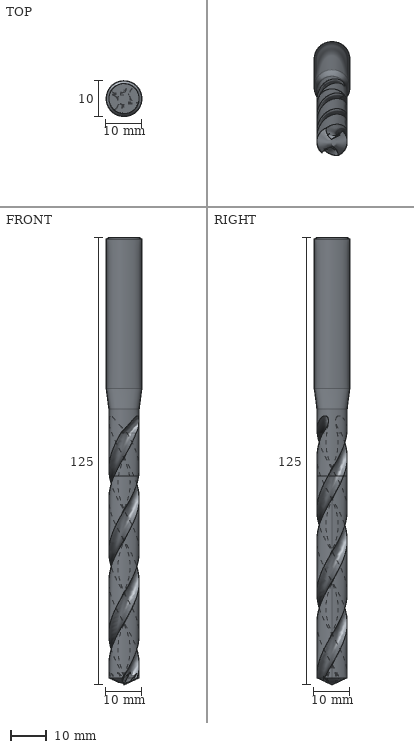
import cadquery as cq
import math

total_length = 125.0
shank_diameter = 10.0
shank_length = 42.2
shank_chamfer_width = 0.8
shank_chamfer_height = 0.5
shank_bottom = total_length - shank_length
neck_height = 5.7
neck_bottom = shank_bottom - neck_height
joint_height = 58.3

drill_diameter = 8.5
point_angle = 130.0
point_height = drill_diameter / 2 / math.tan(math.radians(point_angle / 2))

flute_count = 2
helix_angle = 30.0
flute_lead = math.pi * drill_diameter / math.tan(math.radians(helix_angle))
flute_radius = 2.3
flute_center_radius = 4.0
flute_helix_top = 70.3
flute_top_angle = -70.0
flute_runout_height = 7.0
flute_runout_angle = 42.0
flute_runout_rise_angle = 10.0
flute_overrun = 1.0
fluted_bar_allowance = 0.5
fluted_bar_radius = drill_diameter / 2 + fluted_bar_allowance
bar_slice_thickness = 1.0

gash_root_bottom = cq.Vector(0.1, -1.0, 0.45)
gash_root_top = cq.Vector(1.8, -0.9, 3.7)
gash_inner_edge = cq.Vector(-0.2, -2.4, 1.95)
gash_outer_edge = cq.Vector(2.7, -1.2, 1.6)
gash_overrun = 0.5


def revolved(profile):
    """Turn a half outline in the XZ plane about the Z axis."""
    return profile.close().revolve(360, (0, 0, 0), (0, 1, 0))


def turned(solid, angle):
    """The solid turned about the Z axis."""
    return solid.rotate(cq.Vector(0, 0, 0), cq.Vector(0, 0, 1), angle)


def flute_section(height):
    """Circular flute section on the +X side, in a level plane."""
    return (
        cq.Workplane("XY", origin=(0, 0, height))
        .pushPoints([(flute_center_radius, 0)])
        .circle(flute_radius)
    )


def flute_cutters(top_angle):
    """Helical groove with a straight run-out that climbs away from the axis."""
    helix_height = flute_helix_top + flute_overrun
    helix_turn = 360.0 * helix_height / flute_lead
    helix = (
        flute_section(-flute_overrun)
        .twistExtrude(helix_height, helix_turn)
        .rotate((0, 0, 0), (0, 0, 1), -helix_turn)
    )
    tangent_travel = flute_runout_height * math.tan(math.radians(flute_runout_angle))
    radial_travel = flute_runout_height * math.tan(math.radians(flute_runout_rise_angle))
    runout_face = cq.Face.makeFromWires(flute_section(flute_helix_top).wires().val())
    runout = cq.Solid.extrudeLinear(
        runout_face, cq.Vector(radial_travel, tangent_travel, flute_runout_height)
    )
    return [turned(cutter, top_angle) for cutter in (helix.val(), runout)]


def cut_flutes(body):
    """Cut every flute and its run-out from a body."""
    for index in range(flute_count):
        for cutter in flute_cutters(flute_top_angle + index * 360.0 / flute_count):
            body = body.cut(cq.Workplane(obj=cutter))
    return body


shank = cut_flutes(revolved(
    cq.Workplane("XZ")
    .moveTo(0, joint_height)
    .lineTo(drill_diameter / 2, joint_height)
    .lineTo(drill_diameter / 2, neck_bottom)
    .lineTo(shank_diameter / 2, shank_bottom)
    .lineTo(shank_diameter / 2, total_length - shank_chamfer_height)
    .lineTo(shank_diameter / 2 - shank_chamfer_width, total_length)
    .lineTo(0, total_length)
))

def fluted_bar():
    """Oversize round bar with both flutes twisted along it, flat at both ends."""
    helix_turn = 360.0 * joint_height / flute_lead
    bottom_angle = flute_top_angle - 360.0 * flute_helix_top / flute_lead
    flute_discs = (
        cq.Workplane("XY")
        .polarArray(flute_center_radius, bottom_angle, 360, flute_count)
        .circle(flute_radius)
        .extrude(bar_slice_thickness)
    )
    bar_slice = cq.Workplane("XY").circle(fluted_bar_radius).extrude(bar_slice_thickness).cut(flute_discs)
    outline = bar_slice.faces("<Z").wires().val()
    return cq.Workplane("XY").add(outline).toPending().twistExtrude(joint_height, helix_turn)


def gash_cutter():
    """V-shaped wedge that thins the web; its root climbs from the point into the flute."""
    root = gash_root_top - gash_root_bottom
    corners = [gash_root_bottom, gash_inner_edge, gash_outer_edge]
    lowered = [corner - root * gash_overrun for corner in corners]
    outline = cq.Wire.makePolygon(lowered, close=True)
    return cq.Solid.extrudeLinear(outline, [], root * (1 + 2 * gash_overrun))


pointed_blank = revolved(
    cq.Workplane("XZ")
    .lineTo(drill_diameter / 2, point_height)
    .lineTo(drill_diameter / 2, joint_height)
    .lineTo(0, joint_height)
)
drill = fluted_bar().intersect(pointed_blank)
for index in range(flute_count):
    gash = turned(gash_cutter(), index * 360.0 / flute_count)
    drill = drill.cut(cq.Workplane(obj=gash))

result = cq.Compound.makeCompound([shank.val(), drill.val()])